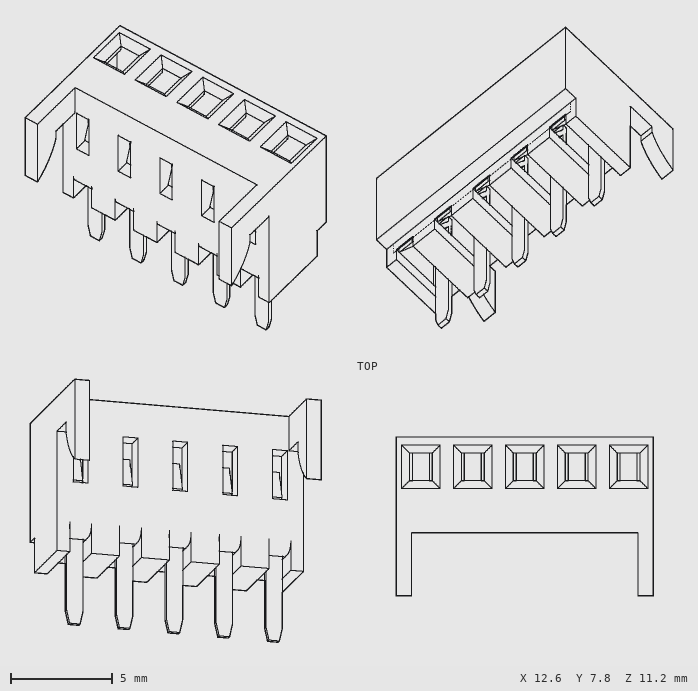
import cadquery as cq
import math


length = 12.6
body_depth = 4.7
body_height = 7.88
rear_step_depth = 0.74
rear_step_height = 1.78

contact_count = 5
pitch = 2.55
contact_xs = [(i - (contact_count - 1) / 2) * pitch for i in range(contact_count)]

arm_width = 0.75
arm_reach = 7.8
arm_thickness = 1.76
hook_start = 6.27
hook_shoulder = 2.29
hook_tip = 4.1
hook_radius = 3.4

funnel_depth = 0.39
entry_rear = 0.4
funnel_width = 1.89
funnel_length = 2.13
throat_width = funnel_width - 2 * funnel_depth
throat_length = funnel_length - 2 * funnel_depth
throat_rear = entry_rear + funnel_depth
entry_y = -(entry_rear + funnel_length / 2)

strip_thickness = 0.25
strip_width = 0.85
pin_front = 3.69
pin_length = 3.35
pin_tip_width = 0.54
pin_tip_length = 0.67
contact_recess = 1.26
contact_top = body_height - contact_recess
spring_angle = 28.0
spring_bend = 0.88
tip_angle = 23.4
lance_width = 0.52
lance_recess = 2.6
lance_top = body_height - lance_recess
lance_length = 1.44
lance_angle = 19.0

end_wall = 0.4
roof_thickness = 0.64
slot_height = 0.98
slot_round = 0.53
window_width = 0.75
window_height = 2.52
window_top = body_height - arm_thickness


def box(width, rear, front, bottom, top, x=0.0):
    """Block centred on x; rear and front are distances from the rear wall."""
    block = cq.Workplane("XY").box(width, front - rear, top - bottom)
    return block.translate((x, -(rear + front) / 2, (bottom + top) / 2))


def side_extrusion(profile, width, x=0.0):
    """Sweep a closed profile drawn in the YZ plane along X, centred on x."""
    return profile.close().extrude(width / 2, both=True).translate((x, 0, 0))


def make_body():
    body = box(length, 0, body_depth, 0, body_height)
    return body.cut(box(length, 0, rear_step_depth, 0, rear_step_height))


def make_arm(x):
    profile = (
        cq.Workplane("YZ")
        .moveTo(-body_depth, body_height)
        .lineTo(-arm_reach, body_height)
        .lineTo(-arm_reach, body_height - hook_tip)
        .radiusArc((-hook_start, body_height - hook_shoulder), -hook_radius)
        .lineTo(-hook_start, body_height - arm_thickness)
        .lineTo(-body_depth, body_height - arm_thickness)
    )
    return side_extrusion(profile, arm_width, x)


def make_chamber():
    return box(length - 2 * end_wall, throat_rear, pin_front, slot_height, body_height - roof_thickness)


def make_wire_entry(x):
    funnel = (
        cq.Workplane("XY", origin=(x, entry_y, body_height))
        .rect(funnel_width, funnel_length)
        .workplane(offset=-funnel_depth)
        .rect(throat_width, throat_length)
        .loft(ruled=True)
    )
    throat = box(
        throat_width, throat_rear, throat_rear + throat_length,
        body_height - roof_thickness, body_height, x,
    )
    return funnel.union(throat)


def make_window(x):
    return box(window_width, pin_front, body_depth, window_top - window_height, window_top, x)


def make_pin_slot(x):
    """Slot through the foot of the housing, its roof rounded out to the front face."""
    profile = (
        cq.Workplane("YZ")
        .moveTo(0, 0)
        .lineTo(0, slot_height)
        .lineTo(slot_round - body_depth, slot_height)
        .radiusArc((-body_depth, slot_height + slot_round), slot_round)
        .lineTo(-body_depth, 0)
    )
    return side_extrusion(profile, throat_width, x)


def make_pin(x):
    """Flat upright strip that ends in a tapered solder pin."""
    half, half_tip = strip_width / 2, pin_tip_width / 2
    return (
        cq.Workplane("XZ", origin=(x, strip_thickness - pin_front, 0))
        .moveTo(-half, contact_top)
        .lineTo(-half, pin_tip_length - pin_length)
        .lineTo(-half_tip, -pin_length)
        .lineTo(half_tip, -pin_length)
        .lineTo(half, pin_tip_length - pin_length)
        .lineTo(half, contact_top)
        .close()
        .extrude(strip_thickness)
    )


def make_spring(x):
    """Leaf that falls from the top of the strip to the rear wall, steeper at its tip."""
    bend_z = contact_top - (pin_front - spring_bend) / math.tan(math.radians(spring_angle))
    tip_z = bend_z - (spring_bend - throat_rear) / math.tan(math.radians(tip_angle))
    drop = strip_thickness / math.sin(math.radians(spring_angle))
    profile = (
        cq.Workplane("YZ")
        .moveTo(-pin_front, contact_top)
        .lineTo(-spring_bend, bend_z)
        .lineTo(-throat_rear, tip_z)
        .lineTo(-throat_rear, tip_z - drop)
        .lineTo(-spring_bend, bend_z - drop)
        .lineTo(-pin_front, contact_top - drop)
    )
    return side_extrusion(profile, strip_width, x)


def make_lance(x):
    """Wedge on the front of the strip that slopes out into the window and ends square."""
    slope = math.tan(math.radians(lance_angle))
    reach = lance_length * slope
    end_z = lance_top - lance_length
    profile = (
        cq.Workplane("YZ")
        .moveTo(-pin_front, lance_top)
        .lineTo(-pin_front - reach, end_z)
        .lineTo(-pin_front, end_z - reach * slope)
    )
    return side_extrusion(profile, lance_width, x)


result = make_body()
for side in (-1, 1):
    result = result.union(make_arm(side * (length - arm_width) / 2))
result = result.cut(make_chamber())
for contact_x in contact_xs:
    result = result.cut(make_wire_entry(contact_x))
    result = result.cut(make_window(contact_x))
    result = result.cut(make_pin_slot(contact_x))
for contact_x in contact_xs:
    contact = make_pin(contact_x).union(make_spring(contact_x)).union(make_lance(contact_x))
    result = result.union(contact)